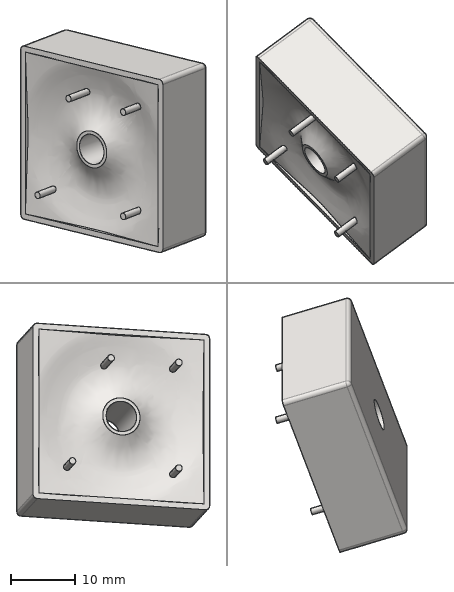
import cadquery as cq
import math

side = 28.4
body_depth = 11.2
edge_radius = 0.7

rim_width = 0.95
recess_side = side - 2 * rim_width
wall_middle_radius = recess_side / 2
corner_radius = wall_middle_radius * math.sqrt(2)
wall_middle_depth = 0.65
valley_radius = 7.67
valley_depth = 1.87
tube_slope = (1, 0.8)
corner_slope = (1, -0.09)
front_clearance = 0.28

hole_diameter = 4.88
tube_diameter = 6.0

pin_diameter = 1.05
pin_reach = 2.85
pin_embedment = 4.25
pin_square_pitch = 17.1
offset_pin_pitch = 10.9


def make_housing():
    """Solid block, rounded everywhere except around the open side."""
    block = cq.Workplane("XY").box(side, body_depth, side, centered=(True, False, True))
    return block.edges("|Y or >Y").fillet(edge_radius)


def make_recess():
    """Round trough that is level with the rim at the tube and at the square's corners."""
    trough = (
        cq.Workplane("XY")
        .moveTo(tube_diameter / 2, 0)
        .spline(
            [
                (valley_radius, valley_depth),
                (wall_middle_radius, wall_middle_depth),
                (corner_radius, 0),
            ],
            tangents=[tube_slope, corner_slope],
            includeCurrent=True,
        )
        .lineTo(corner_radius, -front_clearance)
        .lineTo(tube_diameter / 2, -front_clearance)
        .close()
        .revolve(360, (0, 0, 0), (0, 1, 0))
    )
    window = cq.Workplane("XY").box(recess_side, body_depth, recess_side)
    return trough.intersect(window)


def make_hole():
    """Mounting hole through the whole housing."""
    return cq.Workplane("XZ").circle(hole_diameter / 2).extrude(-body_depth)


def make_pins():
    """Four round leads, three on a square pattern and one set in from its corner."""
    edge = pin_square_pitch / 2
    places = [
        (-edge, -edge),
        (edge, -edge),
        (edge, edge),
        (edge - offset_pin_pitch, edge),
    ]
    return (
        cq.Workplane("XZ", origin=(0, pin_embedment, 0))
        .pushPoints(places)
        .circle(pin_diameter / 2)
        .extrude(pin_embedment + pin_reach)
    )


result = make_housing().cut(make_recess()).cut(make_hole()).union(make_pins())